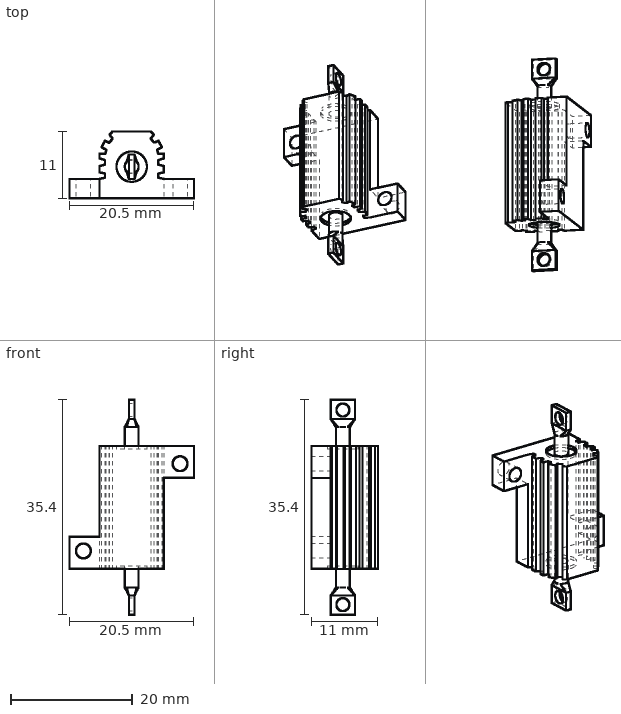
import cadquery as cq
import math

BODY_WIDTH = 10.6
BODY_LENGTH = 20.25
BODY_HEIGHT = 11.0
AXIS_HEIGHT = 5.2
MOUNT_Y = -AXIS_HEIGHT

OVERALL_WIDTH = 20.5
LUG_THICKNESS = 3.2
LUG_LENGTH = 5.3
LUG_HOLE_DIAMETER = 2.4
LUG_HOLE_X = 7.95
LUG_HOLE_END_DISTANCE = 2.95

GROOVE_ROOT_X = 4.4
LOWER_GROOVE_ROOT = (3.4, 4.05)
LOWER_FIN_TIP = (4.25, 5.3)
MIDDLE_GROOVE_ROOT = (5.55, 6.25)
UPPER_FIN_TIP = (6.55, 7.35)
SHOULDER_GROOVE_LOWER_CORNER = (4.35, UPPER_FIN_TIP[1])
SHOULDER_GROOVE_UPPER_CORNER = (4.2, 7.95)
SLANTED_FIN_LOWER_CORNER = (4.97, 8.4)
SLANTED_FIN_UPPER_CORNER = (4.4, 9.48)
TOP_NOTCH_LOWER_CORNER = (3.7, 9.15)
TOP_NOTCH_ROOT = (3.15, 9.8)
TOP_LIP_TIP = (3.65, 10.45)
TOP_HALF_WIDTH = 3.15

RECESS_DIAMETER = 5.0
RECESS_DEPTH = 0.5

OVERALL_LENGTH = 35.4
WIRE_DIAMETER = 2.3
TRANSITION_LENGTH = 1.3
TAB_THICKNESS = 0.95
TAB_WIDTH = 4.0
TAB_LENGTH = 3.2
TAB_HOLE_DIAMETER = 2.1
TAB_HOLE_END_DISTANCE = 1.7

HALF_LENGTH = BODY_LENGTH / 2
HALF_WIDTH = BODY_WIDTH / 2


def make_housing():
    """Extrude the finned cross-section, symmetric about X = 0."""
    right_half = [(HALF_WIDTH, 0), (HALF_WIDTH, LUG_THICKNESS)]
    right_half += [(GROOVE_ROOT_X, height) for height in LOWER_GROOVE_ROOT]
    right_half += [(HALF_WIDTH, height) for height in LOWER_FIN_TIP]
    right_half += [(GROOVE_ROOT_X, height) for height in MIDDLE_GROOVE_ROOT]
    right_half += [(HALF_WIDTH, height) for height in UPPER_FIN_TIP]
    right_half += [
        SHOULDER_GROOVE_LOWER_CORNER,
        SHOULDER_GROOVE_UPPER_CORNER,
        SLANTED_FIN_LOWER_CORNER,
        SLANTED_FIN_UPPER_CORNER,
        TOP_NOTCH_LOWER_CORNER,
        TOP_NOTCH_ROOT,
        TOP_LIP_TIP,
        (TOP_HALF_WIDTH, BODY_HEIGHT),
    ]
    left_half = [(-x, height) for x, height in reversed(right_half)]
    outline = [(x, MOUNT_Y + height) for x, height in right_half + left_half]
    return (
        cq.Workplane("XY")
        .workplane(offset=-HALF_LENGTH)
        .polyline(outline)
        .close()
        .extrude(BODY_LENGTH)
    )


def make_lug(side):
    """Drilled lug; side = 1 is at +X and the +Z end, side = -1 at -X and the -Z end."""
    width = OVERALL_WIDTH / 2
    lug = cq.Workplane("XY").box(width, LUG_THICKNESS, LUG_LENGTH).translate(
        (side * width / 2, MOUNT_Y + LUG_THICKNESS / 2, side * (HALF_LENGTH - LUG_LENGTH / 2))
    )
    hole = (
        cq.Workplane("XZ", origin=(side * LUG_HOLE_X, 0, side * (HALF_LENGTH - LUG_HOLE_END_DISTANCE)))
        .circle(LUG_HOLE_DIAMETER / 2)
        .extrude(AXIS_HEIGHT)
    )
    return lug.cut(hole)


def make_recess():
    """Cylinder that sinks the +Z end face around the lead."""
    return (
        cq.Workplane("XY")
        .workplane(offset=HALF_LENGTH - RECESS_DEPTH)
        .circle(RECESS_DIAMETER / 2)
        .extrude(RECESS_DEPTH)
    )


def make_transition(wire_end_z, tab_z):
    """Loft from the round wire to the flat tab; each quarter arc leads to one tab side."""
    radius = WIRE_DIAMETER / 2
    diagonal = radius * math.sqrt(0.5)
    half_thickness = TAB_THICKNESS / 2
    half_width = TAB_WIDTH / 2
    round_end = (
        cq.Workplane("XY", origin=(0, 0, wire_end_z))
        .moveTo(diagonal, -diagonal)
        .threePointArc((radius, 0), (diagonal, diagonal))
        .threePointArc((0, radius), (-diagonal, diagonal))
        .threePointArc((-radius, 0), (-diagonal, -diagonal))
        .threePointArc((0, -radius), (diagonal, -diagonal))
        .close()
    )
    flat_end = (
        cq.Workplane("XY", origin=(0, 0, tab_z))
        .moveTo(half_thickness, -half_width)
        .lineTo(half_thickness, half_width)
        .lineTo(-half_thickness, half_width)
        .lineTo(-half_thickness, -half_width)
        .close()
    )
    return cq.Workplane(cq.Solid.makeLoft([round_end.val(), flat_end.val()], True))


def make_lead():
    """Lead at the +Z end, starting at the recess floor."""
    tip_z = OVERALL_LENGTH / 2
    tab_z = tip_z - TAB_LENGTH
    wire_end_z = tab_z - TRANSITION_LENGTH
    wire_start_z = HALF_LENGTH - RECESS_DEPTH
    wire = (
        cq.Workplane("XY")
        .workplane(offset=wire_start_z)
        .circle(WIRE_DIAMETER / 2)
        .extrude(wire_end_z - wire_start_z)
    )
    transition = make_transition(wire_end_z, tab_z)
    tab = (
        cq.Workplane("XY")
        .workplane(offset=tab_z)
        .rect(TAB_THICKNESS, TAB_WIDTH)
        .extrude(TAB_LENGTH)
    )
    hole = (
        cq.Workplane("YZ", origin=(0, 0, tip_z - TAB_HOLE_END_DISTANCE))
        .circle(TAB_HOLE_DIAMETER / 2)
        .extrude(TAB_THICKNESS, both=True)
    )
    return wire.union(transition).union(tab.cut(hole))


result = make_housing()
for lug_side in (1, -1):
    result = result.union(make_lug(lug_side))

recess = make_recess()
lead = make_lead()
result = result.cut(recess).cut(recess.mirror("XY"))
result = result.union(lead).union(lead.mirror("XY"))